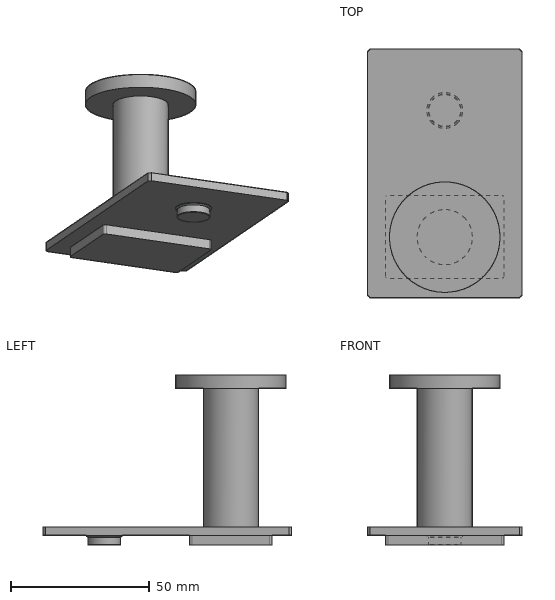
import cadquery as cq

plate_width = 56.0
plate_length = 90.0
plate_thickness = 3.1
plate_chamfer = 1.0

stem_diameter = 20.0
stem_height = 50.0
disc_diameter = 2 * stem_diameter
disc_thickness = 4.95

underside_depth = 3.5
pad_width = 43.0
pad_length = 30.0
pad_corner_radius = 1.0
boss_diameter = 11.9
boss_rim_chamfer = 0.2
collar_thickness = 0.3
collar_overhang = 0.5
collar_taper_height = 0.45

knob_y = -23.0
pad_y = -22.95
boss_y = 22.8


def cylinder(diameter, height, y, bottom_z):
    """Vertical cylinder on the plate's long centre line."""
    return cq.Workplane("XY", origin=(0, y, bottom_z)).circle(diameter / 2).extrude(height)


def block(width, length, height, y, bottom_z):
    """Rectangular block on the plate's long centre line."""
    return cq.Workplane("XY", origin=(0, y, bottom_z)).rect(width, length).extrude(height)


plate = block(plate_width, plate_length, plate_thickness, 0, 0).edges("|Z").chamfer(plate_chamfer)

stem = cylinder(stem_diameter, stem_height, knob_y, plate_thickness)
disc = cylinder(disc_diameter, disc_thickness, knob_y, plate_thickness + stem_height)

pad = block(pad_width, pad_length, underside_depth, pad_y, -underside_depth)
pad = pad.edges("|Z").fillet(pad_corner_radius)

boss = cylinder(boss_diameter, underside_depth, boss_y, -underside_depth)
boss = boss.faces("<Z").chamfer(boss_rim_chamfer)

collar_depth = collar_thickness + collar_taper_height
collar = cylinder(boss_diameter + 2 * collar_overhang, collar_depth, boss_y, -collar_depth)
collar = collar.faces("<Z").edges().chamfer(collar_taper_height, collar_overhang)

result = plate.union(stem).union(disc).union(pad).union(boss).union(collar)